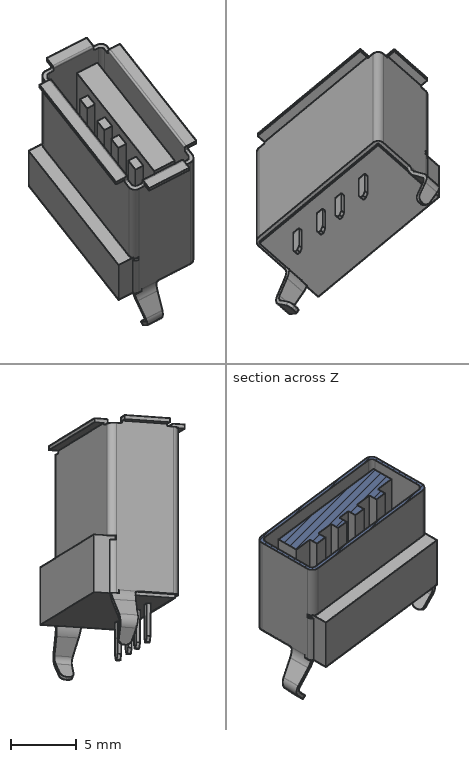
import cadquery as cq
import math


sheet = 0.32
shell_width = 13.25
shell_depth = 5.75
corner_radius = 0.57
shell_bottom = 0.27
shell_corner_back = -2.06
shell_rim = 13.26
inner_width = shell_width - 2 * sheet
inner_depth = shell_depth - 2 * sheet
inner_radius = 0.35

mouth_top = 13.76
bend_radius = 0.16
root_radius = 0.1
long_tab_width = 10.9
long_tab_reach = 3.63
short_tab_width = 3.63
short_tab_reach = 7.3

block_width = 12.82
block_front = -4.0
block_height = 4.49
relief_height = 0.32
tongue_width = 11.0
tongue_back = 1.64
tongue_front = -0.21
tongue_top = 12.73

contact_places = (1.0, 3.44)
contact_width = 1.01
contact_depth = 0.71
contact_top = 11.66
pin_places = (1.0, 3.49)
pin_width = 0.62
pin_thickness = 0.3
pin_y = 1.28
pin_length = 2.97
pin_tip_height = 0.43
pin_tip_width = 0.25

leg_half_span = 8.0
leg_bottom = -4.04
leg_back = -0.73
leg_front = -2.69
leg_taper = 0.12
leg_splay = math.radians(36)
leg_return = math.radians(39)
upper_bend = 1.55
lower_bend = 0.68
leg_tip_radius = 0.46
leg_root_radius = 0.25


def box(x_range, y_range, z_range):
    """Axis-aligned box from its low and high limits."""
    size = [high - low for low, high in (x_range, y_range, z_range)]
    corner = (x_range[0], y_range[0], z_range[0])
    return cq.Workplane("XY").box(*size, centered=False).translate(corner)


def rounded_column(width, depth, radius, height):
    column = cq.Workplane("XY").rect(width, depth).extrude(height)
    return column.edges("|Z").fillet(radius)


def make_shell():
    """Rectangular tube, opened at the lower front to let the housing block through."""
    outer = rounded_column(shell_width, shell_depth, corner_radius, shell_rim)
    inner = rounded_column(inner_width, inner_depth, inner_radius, shell_rim)
    tube = outer.cut(inner)
    half_width = shell_width / 2
    half_slot = block_width / 2
    front = -shell_depth / 2
    front_strip = (front, front + corner_radius)
    below_edge = box((-half_width, half_width), (shell_corner_back, -front), (0, shell_bottom))
    slot = box((-half_slot, half_slot), front_strip, (0, block_height))
    relief = box((-half_width, half_width), front_strip, (block_height - relief_height, block_height))
    return tube.cut(below_edge).cut(slot).cut(relief)


def make_tab(wall, reach, width):
    """Tab on the -Y side: a strip of the wall bent outward, with small radii at its root."""
    wall_inside = -wall + sheet
    section = (
        cq.Workplane("YZ")
        .moveTo(wall_inside, shell_rim)
        .lineTo(wall_inside, mouth_top - bend_radius)
        .radiusArc((wall_inside - bend_radius, mouth_top), -bend_radius)
        .lineTo(-reach, mouth_top)
        .lineTo(-reach, mouth_top - sheet)
        .lineTo(-wall, mouth_top - sheet)
        .lineTo(-wall, shell_rim)
        .close()
        .extrude(width / 2, both=True)
    )
    half = width / 2
    root = (
        cq.Workplane("XZ", origin=(0, wall_inside, 0))
        .moveTo(-half - root_radius, shell_rim)
        .radiusArc((-half, shell_rim + root_radius), -root_radius)
        .lineTo(half, shell_rim + root_radius)
        .radiusArc((half + root_radius, shell_rim), -root_radius)
        .close()
        .extrude(sheet)
    )
    return section.union(root)


def make_housing():
    """Floor inside the shell, block in front of it, and the tongue carrying the contacts."""
    half_width = inner_width / 2
    half_depth = inner_depth / 2
    floor = box((-half_width, half_width), (-half_depth, half_depth), (0, block_height))
    half_block = block_width / 2
    block_back = -shell_depth / 2 + corner_radius
    block = box((-half_block, half_block), (block_front, block_back), (0, block_height))
    half_tongue = tongue_width / 2
    tongue = box((-half_tongue, half_tongue), (tongue_front, tongue_back), (block_height, tongue_top))
    return floor.union(block).union(tongue)


def make_contact(x):
    return box(
        (x - contact_width / 2, x + contact_width / 2),
        (tongue_front - contact_depth, tongue_front),
        (block_height, contact_top),
    )


def make_pin(x):
    """Flat pin below the housing, narrowed at its end."""
    taper_start = -pin_length + pin_tip_height
    return (
        cq.Workplane("XZ", origin=(x, pin_y, 0))
        .polyline([
            (-pin_width / 2, 0),
            (pin_width / 2, 0),
            (pin_width / 2, taper_start),
            (pin_tip_width / 2, -pin_length),
            (-pin_tip_width / 2, -pin_length),
            (-pin_width / 2, taper_start),
        ])
        .close()
        .extrude(pin_thickness / 2, both=True)
    )


def make_leg():
    """Spring leg at +X: splayed outward below the shell, then bent back, tapering to a round tip."""
    half = sheet / 2
    start_x = shell_width / 2 - half
    upper_x = start_x + upper_bend
    lower_x = leg_half_span - half - lower_bend
    sideways = (lower_x - upper_x) + (upper_bend + lower_bend) * math.cos(leg_splay)
    drop = sideways / math.tan(leg_splay)
    lower_z = shell_bottom - (upper_bend + lower_bend) * math.sin(leg_splay) - drop

    def upper_point(angle, offset):
        radius = upper_bend - offset
        return (upper_x - radius * math.cos(angle), shell_bottom - radius * math.sin(angle))

    def lower_point(angle, offset):
        radius = lower_bend + offset
        return (lower_x + radius * math.cos(angle), lower_z + radius * math.sin(angle))

    outer_end_z = lower_point(-leg_return, half)[1]
    tail = (outer_end_z - leg_bottom) / math.cos(leg_return)

    def tip_point(offset):
        x, z = lower_point(-leg_return, offset)
        return (x - tail * math.sin(leg_return), z - tail * math.cos(leg_return))

    strip = (
        cq.Workplane("XZ")
        .moveTo(*upper_point(0, half))
        .threePointArc(upper_point(leg_splay / 2, half), upper_point(leg_splay, half))
        .lineTo(*lower_point(leg_splay, half))
        .threePointArc(lower_point(0, half), lower_point(-leg_return, half))
        .lineTo(*tip_point(half))
        .lineTo(*tip_point(-half))
        .lineTo(*lower_point(-leg_return, -half))
        .threePointArc(lower_point(0, -half), lower_point(leg_splay, -half))
        .lineTo(*upper_point(leg_splay, -half))
        .threePointArc(upper_point(leg_splay / 2, -half), upper_point(0, -half))
        .close()
        .extrude(shell_depth, both=True)
    )
    narrowing = -leg_taper * leg_bottom
    outline = (
        cq.Workplane("YZ")
        .moveTo(shell_corner_back, shell_bottom)
        .lineTo(shell_corner_back, 0)
        .lineTo(leg_front, 0)
        .lineTo(leg_front + narrowing, leg_bottom)
        .lineTo(leg_back - narrowing, leg_bottom)
        .lineTo(leg_back, 0)
        .radiusArc((leg_back + leg_root_radius, shell_bottom), leg_root_radius)
        .close()
        .extrude(leg_half_span)
    )
    leg = strip.intersect(outline)
    return leg.faces("<Z").edges("not |Y").fillet(leg_tip_radius)


part = make_shell().union(make_housing())

long_tab = make_tab(shell_depth / 2, long_tab_reach, long_tab_width)
short_tab = make_tab(shell_width / 2, short_tab_reach, short_tab_width)
for tab, turn in ((long_tab, 0), (short_tab, 90), (long_tab, 180), (short_tab, 270)):
    part = part.union(tab.rotate((0, 0, 0), (0, 0, 1), turn))

for side in (-1, 1):
    for place in contact_places:
        part = part.union(make_contact(side * place))
    for place in pin_places:
        part = part.union(make_pin(side * place))

leg = make_leg()
result = part.union(leg).union(leg.mirror("YZ"))